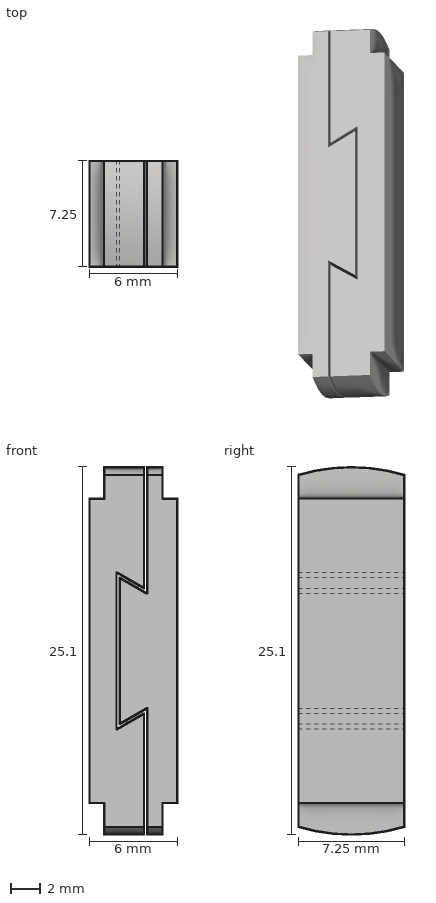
import cadquery as cq
import math

total_width = 6.0
depth = 7.25
total_height = 25.1
end_radius = total_height / 2

core_width = 4.0
shoulder_height = 20.8

clearance = 0.2
tongue_length = 1.87
tongue_tip_height = 10.0
flank_angle = 30.0

half_width = total_width / 2
half_core = core_width / 2
half_shoulder = shoulder_height / 2
half_height = total_height / 2
flank_slope = math.tan(math.radians(flank_angle))
flank_offset = clearance / math.cos(math.radians(flank_angle))

tongue_root_x = tongue_length / 2
tongue_tip_x = -tongue_length / 2
socket_mouth_x = tongue_root_x - clearance
socket_floor_x = tongue_tip_x - clearance


def tongue_half_height(x):
    """Half height of the tongue at x; it widens from root to tip."""
    return tongue_tip_height / 2 - (x - tongue_tip_x) * flank_slope


def socket_half_height(x):
    """Half height of the socket at x, one clearance outside the tongue flank."""
    return tongue_half_height(x) + flank_offset


def end_cylinder():
    """Cylinder along X that rounds the top and bottom ends."""
    return cq.Workplane("YZ").circle(end_radius).extrude(half_width, both=True)


def plate(outer_side, joint_face_x, joint_tip_x, joint_half_height):
    """Stepped plate with its dovetail profile; outer_side is -1 for left, +1 for right."""
    outer_x = outer_side * half_width
    core_x = outer_side * half_core
    upper_half = [
        (outer_x, half_shoulder),
        (core_x, half_shoulder),
        (core_x, half_height),
        (joint_face_x, half_height),
        (joint_face_x, joint_half_height(joint_face_x)),
        (joint_tip_x, joint_half_height(joint_tip_x)),
    ]
    lower_half = [(x, -z) for x, z in reversed(upper_half)]
    profile = cq.Workplane("XZ").polyline(upper_half + lower_half).close()
    return profile.extrude(depth / 2, both=True).intersect(end_cylinder())


socket_plate = plate(-1, socket_mouth_x, socket_floor_x, socket_half_height)
tongue_plate = plate(1, tongue_root_x, tongue_tip_x, tongue_half_height)

result = cq.Compound.makeCompound([socket_plate.val(), tongue_plate.val()])